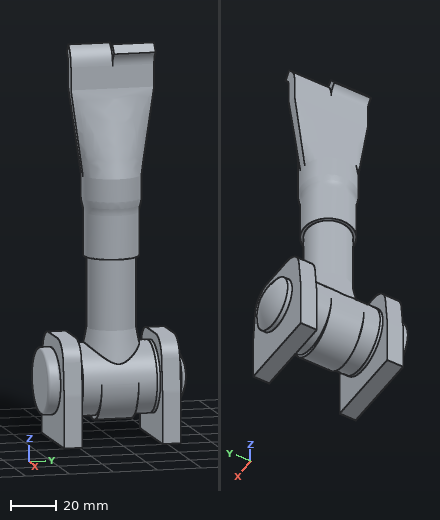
import cadquery as cq
import math

HINGE_Z = 27.0

LUG_WIDTH = 40.0
LUG_HEIGHT = 47.5
LUG_INNER_Y = 18.2
LUG_THICKNESS = 8.3
LUG_TOP_WIDTH = 16.5
LUG_SHOULDER_RADIUS = 10.3
LUG_LEAN_ANGLE = 6
LUG_KNEE_RADIUS = 14.5
LUG_OUTER_Y = LUG_INNER_Y + LUG_THICKNESS

PIN_RADIUS = 12.7
PIN_STRAIGHT_END_Y = 28.9
PIN_TIP_Y = 33.5
HEAD_RADIUS = 15.0
HEAD_LENGTH = 6.0
HEAD_EDGE_RADIUS = 1.5

BARREL_RADIUS = 16.3
WASHER_THICKNESS = 1.5
BARREL_HALF_LENGTH = LUG_INNER_Y - WASHER_THICKNESS
SADDLE_LENGTH = 16.8
SADDLE_DEPTH = 18.2

STEM_RADIUS = 11.0
STEM_FLARE_Z = 50.1
STEM_FLARE_SLOPE = 0.2

SLEEVE_RADIUS = 12.4
SLEEVE_BOTTOM_Z = 82.1
SLEEVE_TOP_Z = 101.8
COLLAR_RADIUS = 13.5
COLLAR_BOTTOM_Z = 108.1
COLLAR_TOP_Z = 118.5
BLADE_THICKNESS = 5.0
BLADE_WIDTH = 37.9
BLADE_BOTTOM_Z = 157.2
BEND_Z = 167.5
BEND_OUTER_RADIUS = 12.0
TOTAL_HEIGHT = 177.0
EDGE_STRIP_WIDTH = 3.7


def hinge_cylinder(radius, start_y, end_y):
    """Cylinder on the hinge axis between two Y positions."""
    axis_start = cq.Vector(0, start_y, HINGE_Z)
    return cq.Workplane(cq.Solid.makeCylinder(radius, end_y - start_y, axis_start, cq.Vector(0, 1, 0)))


def make_lug(center_y):
    """Upright plate with leaning upper sides, round shoulders and a pin hole."""
    half_side = LUG_WIDTH / 2
    half_top = LUG_TOP_WIDTH / 2
    lean = math.radians(LUG_LEAN_ANGLE)
    shoulder_x = half_top + LUG_SHOULDER_RADIUS * math.cos(lean)
    shoulder_z = LUG_HEIGHT - LUG_SHOULDER_RADIUS * (1 - math.sin(lean))
    knee_z = shoulder_z - (half_side - shoulder_x) / math.tan(lean)
    knee_length = LUG_KNEE_RADIUS * math.tan(lean / 2)
    knee_top = (half_side - knee_length * math.sin(lean), knee_z + knee_length * math.cos(lean))
    outline = (
        cq.Workplane("XZ", origin=(0, center_y + LUG_THICKNESS / 2, 0))
        .lineTo(half_side, 0)
        .lineTo(half_side, knee_z - knee_length)
        .radiusArc(knee_top, -LUG_KNEE_RADIUS)
        .lineTo(shoulder_x, shoulder_z)
        .radiusArc((half_top, LUG_HEIGHT), -LUG_SHOULDER_RADIUS)
        .lineTo(0, LUG_HEIGHT)
        .mirrorY()
    )
    plate = outline.extrude(LUG_THICKNESS)
    return plate.cut(hinge_cylinder(PIN_RADIUS, -LUG_OUTER_Y, LUG_OUTER_Y))


def make_washer(center_y):
    """Flat ring between a lug and the barrel."""
    start_y = center_y - WASHER_THICKNESS / 2
    end_y = center_y + WASHER_THICKNESS / 2
    return hinge_cylinder(BARREL_RADIUS, start_y, end_y).cut(hinge_cylinder(PIN_RADIUS, start_y, end_y))


def revolve_on_hinge(profile):
    """Turn a (radius, Y) profile, drawn in the XY plane, around the hinge axis."""
    return profile.close().revolve(360, (0, 0, 0), (0, 1, 0)).translate((0, 0, HINGE_Z))


def make_pin():
    """Straight pin with a domed end on the +Y side."""
    dome_height = PIN_TIP_Y - PIN_STRAIGHT_END_Y
    dome_radius = (PIN_RADIUS**2 + dome_height**2) / (2 * dome_height)
    profile = (
        cq.Workplane("XY")
        .moveTo(0, -LUG_OUTER_Y)
        .lineTo(PIN_RADIUS, -LUG_OUTER_Y)
        .lineTo(PIN_RADIUS, PIN_STRAIGHT_END_Y)
        .radiusArc((0, PIN_TIP_Y), -dome_radius)
    )
    return revolve_on_hinge(profile)


def make_head():
    """Disc with rounded rims that closes the -Y end of the pin."""
    disc = hinge_cylinder(HEAD_RADIUS, -LUG_OUTER_Y - HEAD_LENGTH, -LUG_OUTER_Y)
    return disc.edges("%CIRCLE").fillet(HEAD_EDGE_RADIUS)


def make_saddle():
    """Half-elliptic pad wrapped around the underside of the barrel."""
    return (
        cq.Workplane("XZ", origin=(0, SADDLE_LENGTH / 2, HINGE_Z))
        .ellipse(BARREL_RADIUS, SADDLE_DEPTH)
        .extrude(SADDLE_LENGTH)
        .intersect(cq.Workplane("XY").box(LUG_WIDTH, SADDLE_LENGTH, HINGE_Z, centered=(True, True, False)))
    )


def make_stem():
    """Barrel on the hinge with an upright stem that flares where it joins."""
    barrel = hinge_cylinder(BARREL_RADIUS, -BARREL_HALF_LENGTH, BARREL_HALF_LENGTH)

    flare_radius = STEM_RADIUS + STEM_FLARE_SLOPE * (STEM_FLARE_Z - HINGE_Z)
    upright = (
        cq.Workplane("XZ")
        .moveTo(0, HINGE_Z)
        .lineTo(flare_radius, HINGE_Z)
        .lineTo(STEM_RADIUS, STEM_FLARE_Z)
        .lineTo(STEM_RADIUS, SLEEVE_BOTTOM_Z)
        .lineTo(0, SLEEVE_BOTTOM_Z)
        .close()
        .revolve(360, (0, 0, 0), (0, 1, 0))
    )
    pin_hole = hinge_cylinder(PIN_RADIUS, -BARREL_HALF_LENGTH, BARREL_HALF_LENGTH)
    return barrel.union(make_saddle()).union(upright).cut(pin_hole)


def make_socket():
    """Sleeve that swells to the collar through an S-shaped blend of two arcs."""
    mid_radius = (SLEEVE_RADIUS + COLLAR_RADIUS) / 2
    mid_z = (SLEEVE_TOP_Z + COLLAR_BOTTOM_Z) / 2
    return (
        cq.Workplane("XZ")
        .moveTo(0, SLEEVE_BOTTOM_Z)
        .lineTo(SLEEVE_RADIUS, SLEEVE_BOTTOM_Z)
        .lineTo(SLEEVE_RADIUS, SLEEVE_TOP_Z)
        .tangentArcPoint((mid_radius, mid_z), relative=False)
        .tangentArcPoint((COLLAR_RADIUS, COLLAR_BOTTOM_Z), relative=False)
        .lineTo(COLLAR_RADIUS, COLLAR_TOP_Z)
        .lineTo(0, COLLAR_TOP_Z)
        .close()
        .revolve(360, (0, 0, 0), (0, 1, 0))
    )


def make_transition():
    """Straight-ruled body from the round collar to the flat blade."""
    strip_x = EDGE_STRIP_WIDTH / 2
    strip_y = math.sqrt(COLLAR_RADIUS**2 - strip_x**2)
    return (
        cq.Workplane("XY", origin=(0, 0, COLLAR_TOP_Z))
        .moveTo(-strip_x, -strip_y)
        .threePointArc((0, -COLLAR_RADIUS), (strip_x, -strip_y))
        .threePointArc((COLLAR_RADIUS, 0), (strip_x, strip_y))
        .threePointArc((0, COLLAR_RADIUS), (-strip_x, strip_y))
        .threePointArc((-COLLAR_RADIUS, 0), (-strip_x, -strip_y))
        .close()
        .workplane(offset=BLADE_BOTTOM_Z - COLLAR_TOP_Z)
        .rect(BLADE_THICKNESS, BLADE_WIDTH)
        .loft(ruled=True)
    )


def make_blade_half():
    """Half-width blade on the -Y side, whose tip bends toward -X."""
    half_thickness = BLADE_THICKNESS / 2
    inner_radius = BEND_OUTER_RADIUS - BLADE_THICKNESS
    center_x = half_thickness - BEND_OUTER_RADIUS
    bend_angle = math.asin((TOTAL_HEIGHT - BEND_Z) / BEND_OUTER_RADIUS)

    def on_bend(radius, angle):
        return (center_x + radius * math.cos(angle), BEND_Z + radius * math.sin(angle))

    return (
        cq.Workplane("XZ")
        .moveTo(-half_thickness, BLADE_BOTTOM_Z)
        .lineTo(half_thickness, BLADE_BOTTOM_Z)
        .lineTo(half_thickness, BEND_Z)
        .threePointArc(on_bend(BEND_OUTER_RADIUS, bend_angle / 2), on_bend(BEND_OUTER_RADIUS, bend_angle))
        .lineTo(*on_bend(inner_radius, bend_angle))
        .threePointArc(on_bend(inner_radius, bend_angle / 2), (-half_thickness, BEND_Z))
        .close()
        .extrude(BLADE_WIDTH / 2)
    )


def make_blade():
    """Socket, flattened transition and a blade whose two halves bend apart."""
    near_half = make_blade_half()
    far_half = near_half.rotate((0, 0, 0), (0, 0, 1), 180)
    return make_socket().union(make_transition()).union(near_half).union(far_half)


lug_center_y = LUG_INNER_Y + LUG_THICKNESS / 2
washer_center_y = LUG_INNER_Y - WASHER_THICKNESS / 2

lugs = []
washers = []
for side in (-1, 1):
    lugs.append(make_lug(side * lug_center_y))
    washers.append(make_washer(side * washer_center_y))

pin = make_pin()
head = make_head()
stem = make_stem()
blade = make_blade()

result = cq.Compound.makeCompound(
    [
        *[lug.val() for lug in lugs],
        *[washer.val() for washer in washers],
        pin.val(),
        head.val(),
        stem.val(),
        blade.val(),
    ]
)